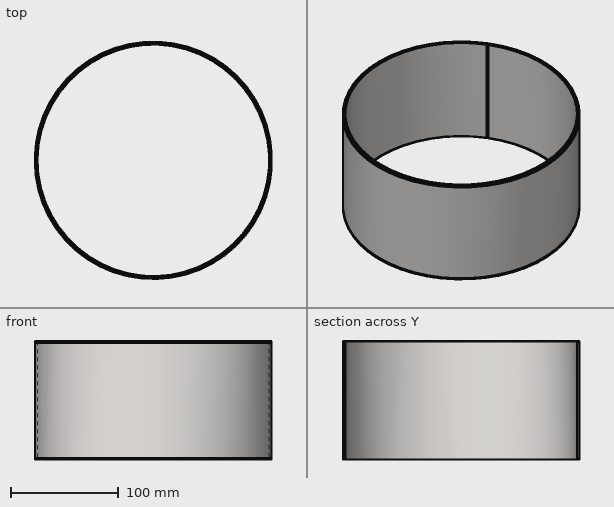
import cadquery as cq

outer_diameter = 220.0
wall_thickness = 2.5
height = 110.0
outer_chamfer_height = 1.75
outer_chamfer_depth = 0.66
inner_chamfer = 0.35
slit_angle = 0.9

outer_radius = outer_diameter / 2
inner_radius = outer_radius - wall_thickness
rim_outer_radius = outer_radius - outer_chamfer_depth
rim_inner_radius = inner_radius + inner_chamfer


def make_wall_profile():
    """Wall section at -X: steep outer chamfers and small 45 degree inner ones at both rims."""
    return (
        cq.Workplane("XZ")
        .moveTo(-rim_inner_radius, 0)
        .lineTo(-rim_outer_radius, 0)
        .lineTo(-outer_radius, outer_chamfer_height)
        .lineTo(-outer_radius, height - outer_chamfer_height)
        .lineTo(-rim_outer_radius, height)
        .lineTo(-rim_inner_radius, height)
        .lineTo(-inner_radius, height - inner_chamfer)
        .lineTo(-inner_radius, inner_chamfer)
        .close()
    )


def make_split_sleeve():
    """Ring swept from the XZ plane about Z, stopping short of a full turn.

    The gap is a narrow full-height slit at -X, on the +Y side of the XZ plane.
    """
    sweep_angle = 360 - slit_angle
    return make_wall_profile().revolve(sweep_angle, (0, 0, 0), (0, 1, 0))


result = make_split_sleeve()